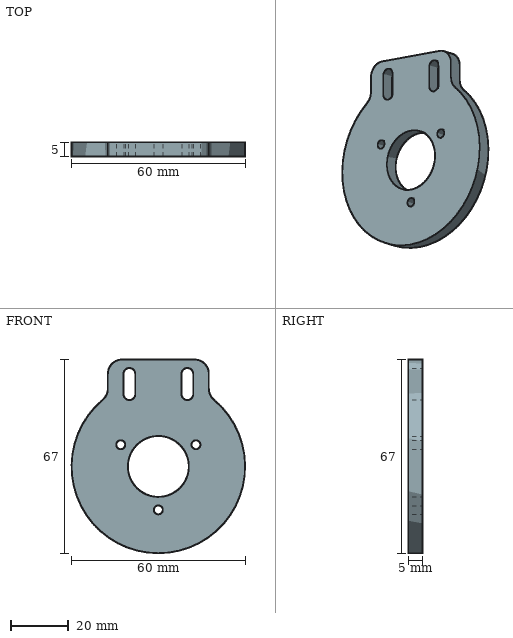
import cadquery as cq

overall_height = 67.0
disc_diameter = 60.0
thickness = 5.0
tab_width = 35.0
corner_radius = 5.0
bore_diameter = 21.0
screw_hole_diameter = 3.0
screw_circle_radius = 15.0
screw_hole_count = 3
slot_spacing = 20.0
slot_width = 4.0
slot_length = 11.0
slot_top_margin = 3.0

disc_radius = disc_diameter / 2
tab_top = overall_height - disc_radius
slot_center_z = tab_top - slot_top_margin - slot_length / 2


def plate_plane():
    """Sketch on the front face; extrusion runs toward +Y."""
    return cq.Workplane("XZ", origin=(0, -thickness / 2, 0))


def make_plate():
    """Round disc with a rounded mounting tab on top."""
    disc = plate_plane().circle(disc_radius).extrude(-thickness)
    tab = plate_plane().center(0, tab_top / 2).rect(tab_width, tab_top).extrude(-thickness)
    plate = disc.union(tab)
    tab_edges = plate.edges("|Y").filter(
        lambda edge: edge.Center().z > disc_radius / 2 and abs(edge.Center().x) > tab_width / 4
    )
    return tab_edges.fillet(corner_radius)


def make_bore():
    return plate_plane().circle(bore_diameter / 2).extrude(-thickness)


def make_screw_holes():
    """Evenly spaced holes, the first straight below the bore."""
    return (
        plate_plane()
        .polarArray(screw_circle_radius, -90, 360, screw_hole_count)
        .circle(screw_hole_diameter / 2)
        .extrude(-thickness)
    )


def make_slots():
    """Two upright adjustment slots in the tab."""
    slot_centers = [(side * slot_spacing / 2, slot_center_z) for side in (-1, 1)]
    return plate_plane().pushPoints(slot_centers).slot2D(slot_length, slot_width, 90).extrude(-thickness)


result = make_plate().cut(make_bore()).cut(make_screw_holes()).cut(make_slots())